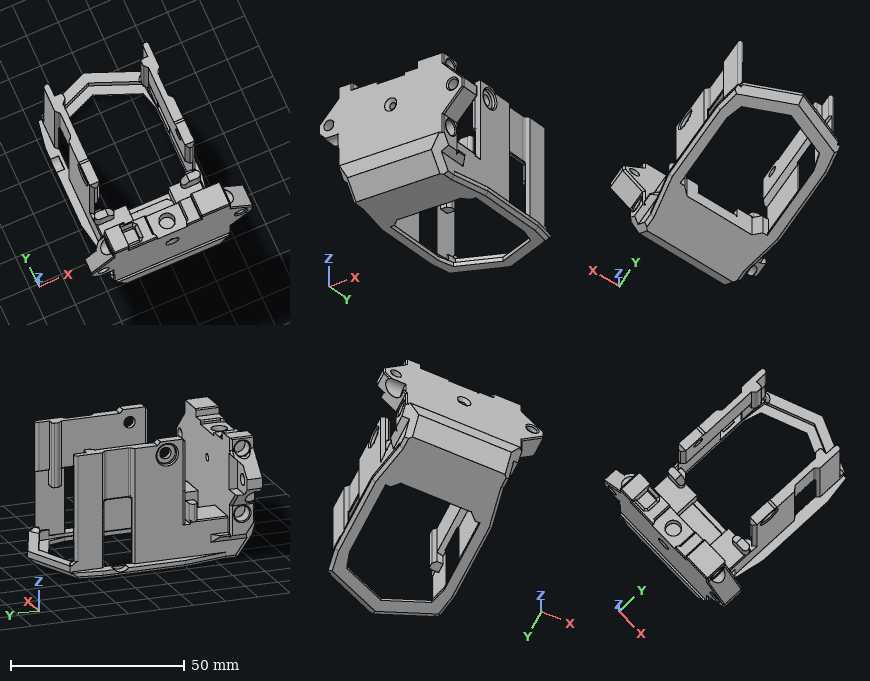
import cadquery as cq
import math

PLATE_FRONT = 0.65
PLATE_BACK = 8.2
PLATE_HALF = 18.5
PLATE_TOP = 37.6
STEP_Z = 35.3
LEFT_SHOULDER_END = -13.5
RIGHT_SHOULDER_END = 9.05
EDGE_BEVEL = 0.4
BACK_BEVEL = 0.65

OVERALL_WIDTH = 50.85
EAR_TIP = OVERALL_WIDTH / 2
EAR_TIP_LOW = 23.85
EAR_TIP_HIGH = 27.0
EAR_RISE = EAR_TIP - PLATE_HALF
EAR_HOLE_X = 21.7
EAR_HOLE_D = 3.4
EAR_CHAMFER_D = 4.2
SCREW_Z = 25.85
LEFT_EAR_BACK = 5.7
EAR_RELIEF_X = -17.55
EAR_RELIEF_FLOOR = 21.75
EAR_RELIEF_ROOF = 30.25

DIP_Z = 34.2
DIP_HALF_BACK = 5.2
DIP_HALF_FRONT = 4.7
DIP_TAPER_START = 1.3
DIP_TAPER_END = 2.1
DIP_BEVEL = 0.45

BORE_D = 4.7
BORE_RIM_D = 5.35
BORE_Y = 4.5
BORE_DEPTH = 4.0
SIDE_BORE_HEIGHTS = (14.15, 34.1)

CENTRE_HOLE_D = 2.1
CENTRE_SINK_D = 4.2

POCKET_LEFT = LEFT_SHOULDER_END
POCKET_RIGHT = -8.4
POCKET_FRONT = 1.6
POCKET_BACK = 7.9
POCKET_FLOOR = 32.1
POCKET_CORNER = 1.0
POCKET_RIM = 0.9
POCKET_RIM_DEPTH = 0.95
NUB_END = -12.0

RELIEF_Y = 2.2
RELIEF_Z = 20.05
RELIEF_D = 4.85

BODY_HALF = 16.6
OVERHANG = PLATE_HALF - BODY_HALF
SKIRT_TOP = 10.9
SKIRT_KNEE_Z = 6.05
SKIRT_TOE_Y = 4.35
UNDERCUT_Z = 5.95
FACET_X = 14.75
FACET_RUN_X = 3.0
FACET_RUN_Y = 3.7
LEDGE_TOP = 8.35
LEDGE_BACK = 13.4
BLOCK_BACK = 19.8
BLOCK_TOP = 13.2
CHANNEL_LEFT = -6.1
CHANNEL_RIGHT = 7.2
CHANNEL_FLOOR = 8.3
CHANNEL_LIP_Y = 18.05
CHANNEL_LIP_DROP = 0.95
CHANNEL_CORNER = 1.3

TAB_FRONT = 17.35
TAB_TOP = 18.25
TAB_FLAT_END = 12.8
TAB_INNER_END = 10.6
TAB_RADIUS = 1.15

WALL_INNER = 13.45
WALL_FRONT = 21.05
WALL_BACK = 55.5
WALL_BEVEL = 1.1
WALL_TOP = PLATE_TOP
RAISED_TOP = 38.6
RAISED_BACK = 29.05
SLOT_FLOOR = 12.3
LOWER_INNER = 15.45
OVERHANG_BOTTOM = 22.35
OVERHANG_TOP = 23.3
WEB_REACH = 2.3

THIN_START = 51.3
THIN_INNER = 14.7
THIN_FILLET = 0.9
ROOT_FLARE = 1.15
BUMP_INNER = 12.3
BUMP_FRONT = 48.1
BUMP_BOTTOM = 17.85
BUMP_FILLET = 0.65

RECESS_FRONT = 36.95
RECESS_BACK = 47.1
RECESS_DEPTH = 1.2
RECESS_RAMP = 1.3
RECESS_FILLET = 0.75
WINDOW_FRONT = 37.65
WINDOW_BACK = 46.2
WINDOW_TOP = OVERHANG_BOTTOM
WINDOW_BEVEL = 0.45

BOLT_Y = 27.0
BOLT_Z = 34.45
BOLT_D = 3.4
BOLT_BORE_D = 6.05
BOLT_RIM_D = 6.9
BOLT_BORE_DEPTH = 1.4

FOOT_TOP = 2.35
FOOT_BEVEL = 1.1
FOOT_HALF = 19.15
FOOT_START = 8.95
FOOT_WIDE_FRONT = 22.35
FOOT_WIDE_BACK = 47.85
FOOT_BACK_HALF = 17.7
FOOT_BACK = 56.5
GROOVE_Y = 42.1
GROOVE_D = 6.0
GROOVE_DEPTH = 0.95

NOSE_TIP = 63.8
NOSE_SHOULDER = 57.05
NOSE_TOP = 4.2
NOSE_CHAMFER_Z = 2.25
NOSE_STEP_TIP = 60.4
NOSE_INNER_TIP = 57.35
LIP_TOP = 1.35
LIP_INNER = 15.0
LIP_TAPER_START = 46.6
NOSE_SLOPE = (NOSE_TIP - NOSE_SHOULDER) / BODY_HALF

FAR = 127.6


def box(x0, x1, y0, y1, z0, z1):
    """Box between two corners."""
    return cq.Workplane("XY").box(x1 - x0, y1 - y0, z1 - z0, centered=False).translate((x0, y0, z0))


def plan(points, z0, z1):
    """Outline in X and Y, standing from z0 to z1."""
    return cq.Workplane("XY").workplane(offset=z0).polyline(points).close().extrude(z1 - z0)


def elevation(points, y0, y1):
    """Outline in X and Z, running from y0 back to y1."""
    return cq.Workplane("XZ", origin=(0, y0, 0)).polyline(points).close().extrude(y0 - y1)


def profile(points, half_width):
    """Outline in Y and Z, centred on X."""
    return cq.Workplane("YZ").polyline(points).close().extrude(half_width, both=True)


def symmetric(points):
    """Outline points followed by their mirror images in reverse order."""
    return points + [(-x, other) for x, other in reversed(points)]


def both_sides(solid):
    """The solid together with its mirror image across the centre plane."""
    return solid.union(solid.mirror("YZ"))


def rod_x(diameter, x0, x1, y, z):
    """Cylinder along X."""
    return cq.Workplane("YZ", origin=(x0, y, z)).circle(diameter / 2).extrude(x1 - x0)


def cone_x(x0, d0, x1, d1, y, z):
    """Cone along X from diameter d0 at x0 to d1 at x1."""
    start = cq.Workplane("YZ", origin=(x0, y, z)).circle(d0 / 2)
    return start.workplane(offset=x1 - x0).circle(d1 / 2).loft()


def rod_y(diameter, y0, y1, x, z):
    """Cylinder along Y."""
    return cq.Workplane("XZ", origin=(x, y0, z)).circle(diameter / 2).extrude(y0 - y1)


def cone_y(y0, d0, y1, d1, x, z):
    """Cone along Y from diameter d0 at y0 to d1 at y1."""
    start = cq.Workplane("XZ", origin=(x, y0, z)).circle(d0 / 2)
    return start.workplane(offset=y0 - y1).circle(d1 / 2).loft()


def beyond(point, along, normal):
    """Everything on the normal side of a plane through the point."""
    return cq.Workplane(cq.Plane(point, along, normal)).rect(FAR, FAR).extrude(FAR / 4)


def make_plate():
    """Front plate with its two ears, and the thicker skirt along its foot."""
    lower = [(BODY_HALF, 0), (BODY_HALF, UNDERCUT_Z), (PLATE_HALF, UNDERCUT_Z + OVERHANG)]
    right = lower + [
        (PLATE_HALF, EAR_TIP_LOW - EAR_RISE), (EAR_TIP, EAR_TIP_LOW),
        (EAR_TIP, EAR_TIP_HIGH), (PLATE_HALF, EAR_TIP_HIGH + EAR_RISE),
    ]
    top = [
        (PLATE_HALF, PLATE_TOP), (RIGHT_SHOULDER_END, PLATE_TOP), (RIGHT_SHOULDER_END, STEP_Z),
        (LEFT_SHOULDER_END, STEP_Z), (LEFT_SHOULDER_END, PLATE_TOP), (-PLATE_HALF, PLATE_TOP),
    ]
    left = [(-x, z) for x, z in reversed(right)]
    plate = elevation(right + top + left, PLATE_FRONT, PLATE_BACK)
    plate = plate.edges("|Y and >Z").edges("<X or >X or >>X[2]").chamfer(EDGE_BEVEL)
    plate = plate.faces("<Y").edges().chamfer(EDGE_BEVEL)
    for side in (-1, 1):
        flank = cq.selectors.BoxSelector(
            (side * BODY_HALF, 0, LEDGE_TOP), (side * (EAR_TIP + 0.65), FAR, PLATE_TOP - EDGE_BEVEL))
        plate = plate.faces(">Y").edges(flank).chamfer(BACK_BEVEL)
    skirt = elevation(symmetric(lower + [(PLATE_HALF, SKIRT_TOP)]), 0, PLATE_BACK - BACK_BEVEL)
    return plate.union(skirt)


def make_block():
    """Block behind the plate, with its stepped channel, side ledges and tabs."""
    block = box(-BODY_HALF, BODY_HALF, PLATE_BACK, BLOCK_BACK, 0, BLOCK_TOP)
    block = block.edges("|Y and >Z").chamfer(EDGE_BEVEL)
    lip = CHANNEL_FLOOR - CHANNEL_LIP_DROP
    block = block.cut(box(CHANNEL_LEFT, CHANNEL_RIGHT, PLATE_BACK, BLOCK_BACK, CHANNEL_FLOOR, BLOCK_TOP))
    lip_corner = [
        (CHANNEL_LEFT, CHANNEL_LIP_Y), (CHANNEL_RIGHT - CHANNEL_CORNER, CHANNEL_LIP_Y),
        (CHANNEL_RIGHT, CHANNEL_LIP_Y - CHANNEL_CORNER), (CHANNEL_RIGHT, BLOCK_BACK),
        (CHANNEL_LEFT, BLOCK_BACK),
    ]
    block = block.cut(plan(lip_corner, lip, CHANNEL_FLOOR))
    ledge = elevation(
        [(0, UNDERCUT_Z), (BODY_HALF, UNDERCUT_Z), (PLATE_HALF, UNDERCUT_Z + OVERHANG),
         (PLATE_HALF, LEDGE_TOP), (0, LEDGE_TOP)],
        PLATE_BACK, LEDGE_BACK)
    outside_corner = [
        (PLATE_HALF, LEDGE_BACK - OVERHANG), (PLATE_HALF, LEDGE_BACK), (BODY_HALF, LEDGE_BACK),
    ]
    ledge = ledge.cut(plan(outside_corner, 0, LEDGE_TOP))
    ledge = ledge.cut(box(0, BODY_HALF - OVERHANG, PLATE_BACK, LEDGE_BACK, 0, LEDGE_TOP))
    return block.union(both_sides(ledge)).union(both_sides(make_tab()))


def make_tab():
    """Right tab, rounded in plan and sloping down at its inner end."""
    drop = TAB_FLAT_END - TAB_INNER_END
    tab = elevation(
        [(BODY_HALF, 0), (BODY_HALF, TAB_TOP), (TAB_FLAT_END, TAB_TOP),
         (TAB_INNER_END, TAB_TOP - drop), (TAB_INNER_END, 0)],
        TAB_FRONT, BLOCK_BACK)
    return tab.edges("|Z").fillet(TAB_RADIUS)


def bevel_skirt(body):
    """Slope the front of the skirt under, facet its two corners and bevel its bottom edges."""
    slope = [(-0.65, 0), (SKIRT_TOE_Y, 0), (0, SKIRT_KNEE_Z), (-0.65, SKIRT_KNEE_Z)]
    body = body.cut(profile(slope, PLATE_HALF + 0.65))
    down = cq.Vector(0, SKIRT_TOE_Y, -SKIRT_KNEE_Z)
    across = cq.Vector(FACET_RUN_X, FACET_RUN_Y, 0)
    normal = down.cross(across)
    corner = beyond((FACET_X, 0, SKIRT_KNEE_Z), down.toTuple(), normal.toTuple())
    corner = corner.intersect(box(0, PLATE_HALF + 0.65, -0.65, PLATE_BACK, -0.65, SKIRT_TOP))
    body = body.cut(both_sides(corner))
    bottom_edge = elevation(
        [(BODY_HALF, 0), (BODY_HALF, FOOT_BEVEL), (BODY_HALF - FOOT_BEVEL, 0)], 0, BLOCK_BACK)
    return body.cut(both_sides(bottom_edge))


def make_wall():
    """Right side wall with its window, recess, bump and bolt hole."""
    raised = RAISED_TOP - WALL_TOP
    wall = cq.Workplane("YZ", origin=(WALL_INNER, 0, 0)).polyline([
        (WALL_FRONT, 0), (WALL_FRONT, RAISED_TOP), (RAISED_BACK, RAISED_TOP),
        (RAISED_BACK + raised, WALL_TOP), (WALL_BACK, WALL_TOP), (WALL_BACK, 0),
    ]).close().extrude(BODY_HALF - WALL_INNER)
    wall = wall.faces("<Y").edges("not <Z").chamfer(WALL_BEVEL)
    wall = wall.union(box(WALL_INNER, BODY_HALF, BLOCK_BACK, WALL_FRONT + WALL_BEVEL, 0, SLOT_FLOOR))
    wall = wall.cut(box(WALL_INNER, THIN_INNER, THIN_START, WALL_BACK, 0, WALL_TOP))
    wall = wall.edges("|Z and >Y").fillet(THIN_FILLET)
    wall = wall.cut(elevation(
        [(0, 0), (LOWER_INNER, 0), (LOWER_INNER, OVERHANG_BOTTOM),
         (WALL_INNER, OVERHANG_TOP), (0, OVERHANG_TOP)],
        BLOCK_BACK, WALL_BACK))
    bump_reach = WALL_INNER - BUMP_INNER
    bump = plan(
        [(LOWER_INNER, BUMP_FRONT), (WALL_INNER, BUMP_FRONT), (BUMP_INNER, BUMP_FRONT + bump_reach),
         (BUMP_INNER, THIN_START), (LOWER_INNER, THIN_START)],
        BUMP_BOTTOM, WALL_TOP)
    bump = bump.edges("|Z and <X").fillet(BUMP_FILLET)
    wall = wall.union(bump)
    recess_x = BODY_HALF - RECESS_DEPTH
    recess = plan(
        [(BODY_HALF, RECESS_FRONT), (recess_x, RECESS_FRONT + RECESS_RAMP),
         (recess_x, RECESS_BACK - RECESS_RAMP), (BODY_HALF, RECESS_BACK)],
        FOOT_TOP, WALL_TOP)
    wall = wall.cut(recess.edges("|Z and <X").fillet(RECESS_FILLET))
    wall = wall.cut(box(WALL_INNER, BODY_HALF, WINDOW_FRONT, WINDOW_BACK, FOOT_TOP, WINDOW_TOP))
    wall = wall.cut(elevation(
        [(recess_x, WINDOW_TOP), (recess_x, WINDOW_TOP + WINDOW_BEVEL),
         (recess_x - WINDOW_BEVEL, WINDOW_TOP)],
        WINDOW_FRONT, WINDOW_BACK))
    bore_floor = BODY_HALF - BOLT_BORE_DEPTH
    rim = (BOLT_RIM_D - BOLT_BORE_D) / 2
    wall = wall.cut(rod_x(BOLT_D, WALL_INNER, BODY_HALF, BOLT_Y, BOLT_Z))
    wall = wall.cut(rod_x(BOLT_BORE_D, bore_floor, BODY_HALF, BOLT_Y, BOLT_Z))
    wall = wall.cut(cone_x(BODY_HALF - rim, BOLT_BORE_D, BODY_HALF, BOLT_RIM_D, BOLT_Y, BOLT_Z))
    web = plan(
        [(LOWER_INNER, BLOCK_BACK), (LOWER_INNER, BLOCK_BACK + WEB_REACH),
         (WALL_INNER, BLOCK_BACK + WEB_REACH), (WALL_INNER - WEB_REACH, BLOCK_BACK)],
        0, SLOT_FLOOR)
    return wall.union(web)


def make_wall_root():
    """Flare around the rounded rear end of the right wall, standing on the nose."""
    thickness = BODY_HALF - THIN_INNER
    middle = (BODY_HALF + THIN_INNER) / 2
    centre_y = WALL_BACK - thickness / 2
    flare = cq.Workplane("XY", origin=(middle, centre_y, NOSE_TOP)).circle(thickness / 2 + ROOT_FLARE)
    flare = flare.workplane(offset=ROOT_FLARE).circle(thickness / 2).loft()
    return flare.intersect(box(0, BODY_HALF, centre_y, NOSE_TIP, NOSE_TOP, WALL_TOP))


def nose_line(tip, half):
    """Y of a line parallel to the nose edges, at a given distance from the centre."""
    return tip - NOSE_SLOPE * half


def rear_opening(tip, side_half, back_half):
    """Outline of the frame opening, narrowing behind the side walls to a point."""
    right = [(side_half, BLOCK_BACK), (side_half, LIP_TAPER_START), (back_half, nose_line(tip, back_half))]
    return right + [(0, tip)] + [(-x, y) for x, y in reversed(right)]


def make_foot():
    """Bottom frame with the pointed nose, its inner lip and the groove in the left side."""
    right = [
        (BODY_HALF, FOOT_START), (FOOT_HALF, FOOT_WIDE_FRONT), (FOOT_HALF, FOOT_WIDE_BACK),
        (FOOT_BACK_HALF, FOOT_BACK),
    ]
    foot = plan(symmetric(right), 0, FOOT_TOP)
    foot = foot.faces("<Z").edges("not <Y").chamfer(FOOT_BEVEL)
    nose = plan(
        [(-BODY_HALF, THIN_START), (BODY_HALF, THIN_START), (BODY_HALF, NOSE_SHOULDER),
         (0, NOSE_TIP), (-BODY_HALF, NOSE_SHOULDER)],
        0, NOSE_TOP)
    foot = foot.union(nose)
    ledge = rear_opening(NOSE_STEP_TIP, LOWER_INNER, THIN_INNER)
    opening = rear_opening(NOSE_INNER_TIP, LIP_INNER, WALL_INNER)
    foot = foot.cut(plan(ledge, LIP_TOP, NOSE_TOP)).cut(plan(opening, 0, NOSE_TOP))
    groove_z = FOOT_TOP - GROOVE_DEPTH + GROOVE_D / 2
    groove = rod_x(GROOVE_D, -FOOT_HALF, -LIP_INNER, GROOVE_Y, groove_z)
    return foot.cut(groove)


def bevel_nose(body):
    """Chamfer under the two slanted rear edges."""
    edge = (BODY_HALF, NOSE_SHOULDER - NOSE_TIP, 0)
    length = math.hypot(edge[0], edge[1])
    normal = (-edge[1] / length, edge[0] / length, -1)
    under = beyond((0, NOSE_TIP, NOSE_CHAMFER_Z), edge, normal)
    under = under.intersect(box(0, FOOT_HALF + 0.65, BLOCK_BACK, NOSE_TIP + 0.65, -0.65, NOSE_TOP))
    return body.cut(both_sides(under))


def cut_plate_holes(body):
    """Side and top bores, ear holes and the countersunk centre hole."""
    for height in SIDE_BORE_HEIGHTS:
        floor = PLATE_HALF - BORE_DEPTH
        rim = (BORE_RIM_D - BORE_D) / 2
        bore = rod_x(BORE_D, floor, EAR_TIP, BORE_Y, height)
        bore = bore.union(cone_x(PLATE_HALF - rim, BORE_D, PLATE_HALF, BORE_RIM_D, BORE_Y, height))
        body = body.cut(both_sides(bore))
    top_bore = cq.Workplane("XY", origin=(0, BORE_Y, DIP_Z)).circle(BORE_D / 2).extrude(-BORE_DEPTH)
    body = body.cut(top_bore)
    for x in (-EAR_HOLE_X, EAR_HOLE_X):
        body = body.cut(rod_y(EAR_HOLE_D, 0, PLATE_BACK, x, SCREW_Z))
    ear_rim = PLATE_FRONT + (EAR_CHAMFER_D - EAR_HOLE_D) / 2
    body = body.cut(cone_y(PLATE_FRONT, EAR_CHAMFER_D, ear_rim, EAR_HOLE_D, EAR_HOLE_X, SCREW_Z))
    body = body.cut(rod_y(CENTRE_HOLE_D, 0, PLATE_BACK, 0, SCREW_Z))
    sink_end = PLATE_FRONT + (CENTRE_SINK_D - CENTRE_HOLE_D) / 2
    return body.cut(cone_y(PLATE_FRONT, CENTRE_SINK_D, sink_end, CENTRE_HOLE_D, 0, SCREW_Z))


def cut_plate_reliefs(body):
    """Top dip, pocket with its nub, and the two reliefs of the left ear."""
    right = [(DIP_HALF_FRONT, 0), (DIP_HALF_FRONT, DIP_TAPER_START), (DIP_HALF_BACK, DIP_TAPER_END),
             (DIP_HALF_BACK, PLATE_BACK)]
    body = body.cut(plan(symmetric(right), DIP_Z, PLATE_TOP))
    shoulder = [(DIP_HALF_BACK, STEP_Z - DIP_BEVEL), (DIP_HALF_BACK + DIP_BEVEL, STEP_Z)]
    body = body.cut(elevation(symmetric(shoulder), DIP_TAPER_END, PLATE_BACK))
    pocket = box(POCKET_LEFT, POCKET_RIGHT, POCKET_FRONT, POCKET_BACK, STEP_Z - POCKET_RIM_DEPTH, STEP_Z)
    pocket = pocket.edges("|Z and >X").chamfer(POCKET_CORNER)
    pocket = pocket.faces("<Z").edges("not <X").chamfer(POCKET_RIM)
    pocket = pocket.faces("<Z").wires().toPending().extrude(POCKET_FLOOR - STEP_Z + POCKET_RIM_DEPTH)
    body = body.cut(pocket)
    depth = PLATE_BACK - LEFT_EAR_BACK
    ear_back = cq.Workplane("YZ", origin=(EAR_RELIEF_X, 0, 0)).polyline([
        (LEFT_EAR_BACK, EAR_RELIEF_FLOOR), (PLATE_BACK, EAR_RELIEF_FLOOR),
        (PLATE_BACK, EAR_RELIEF_ROOF + depth), (LEFT_EAR_BACK, EAR_RELIEF_ROOF),
    ]).close().extrude(-EAR_TIP)
    body = body.cut(ear_back)
    body = body.union(box(LEFT_SHOULDER_END, NUB_END, POCKET_BACK, PLATE_BACK, POCKET_FLOOR, PLATE_TOP))
    return body.cut(rod_x(RELIEF_D, -EAR_TIP, -PLATE_HALF, RELIEF_Y, RELIEF_Z))


front = bevel_skirt(make_plate().union(make_block()))
front = cut_plate_reliefs(cut_plate_holes(front))
rear = make_foot().union(both_sides(make_wall())).union(both_sides(make_wall_root()))
result = front.union(bevel_nose(rear))